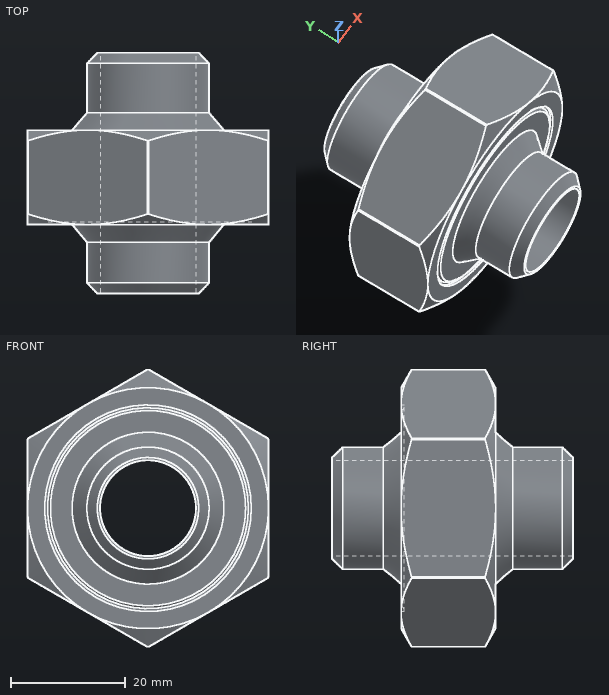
import cadquery as cq
import math

total_length = 42.0
nut_front = 12.05
nut_back = 28.5
front_cone_start = 8.95
back_cone_end = 31.5

across_flats = 42.0
corner_diameter = 48.35
face_circle_diameter = across_flats
nut_chamfer_angle = 30.0
nut_hole_diameter = 36.0

pipe_diameter = 21.3
bore_diameter = 16.7
end_chamfer_length = 1.9
end_face_diameter = 17.7
cone_base_diameter = 26.5

flange_diameter = 35.0
groove_depth = 0.5


def revolve_about_y(outline):
    """Revolve a closed (radius, y) outline about the Y axis."""
    return cq.Workplane("XY").polyline(outline).close().revolve(360, (0, 0, 0), (0, 1, 0))


def make_nut():
    """Hexagon with slightly rounded corners and conical chamfers on both faces."""
    width = nut_back - nut_front
    corner_radius = corner_diameter / 2
    face_radius = face_circle_diameter / 2
    chamfer_depth = (corner_radius - face_radius) * math.tan(math.radians(nut_chamfer_angle))
    hexagon = (
        cq.Workplane("XZ", origin=(0, nut_back, 0))
        .transformed(rotate=(0, 0, 90))
        .polygon(6, across_flats / math.cos(math.radians(30)))
        .extrude(width)
    )
    envelope = revolve_about_y([
        (0, nut_front),
        (face_radius, nut_front),
        (corner_radius, nut_front + chamfer_depth),
        (corner_radius, nut_back - chamfer_depth),
        (face_radius, nut_back),
        (0, nut_back),
    ])
    return hexagon.intersect(envelope)


def make_front_groove():
    """Shallow ring groove between the nut hole and the 45-degree flange rim."""
    hole_radius = nut_hole_diameter / 2
    flange_radius = flange_diameter / 2
    return revolve_about_y([
        (hole_radius, nut_front),
        (hole_radius, nut_front + groove_depth),
        (flange_radius, nut_front + groove_depth),
        (flange_radius - groove_depth, nut_front),
    ])


def make_stub(end, cone_start, cone_base):
    """Pipe stub from its chamfered end to the wide base of its cone."""
    pipe_radius = pipe_diameter / 2
    inward = math.copysign(1, cone_base - end)
    return revolve_about_y([
        (0, end),
        (end_face_diameter / 2, end),
        (pipe_radius, end + inward * end_chamfer_length),
        (pipe_radius, cone_start),
        (cone_base_diameter / 2, cone_base),
        (0, cone_base),
    ])


bore = cq.Workplane("XZ").circle(bore_diameter / 2).extrude(-total_length)

result = (
    make_nut()
    .cut(make_front_groove())
    .union(make_stub(0, front_cone_start, nut_front))
    .union(make_stub(total_length, back_cone_end, nut_back))
    .cut(bore)
)